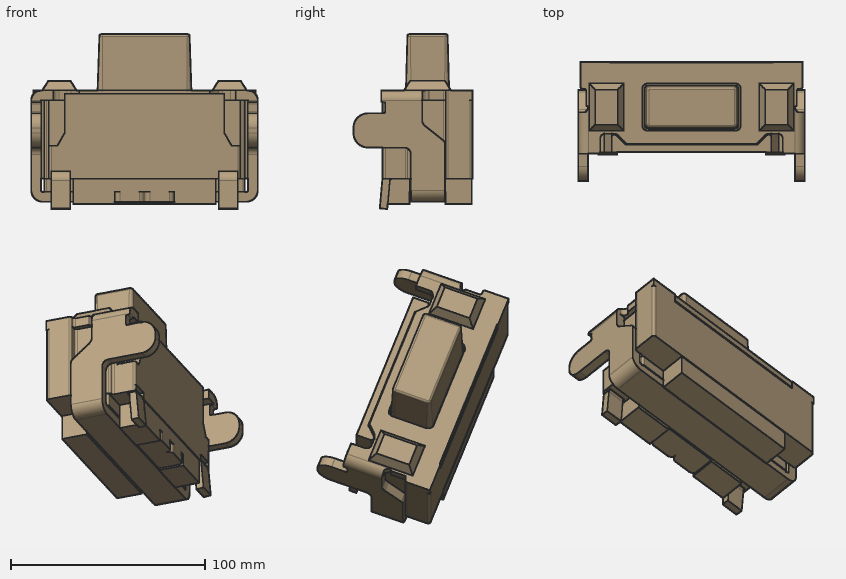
import cadquery as cq
import math

width = 116.8
sheet = 5.1
plate_top = 61.1
plate_bottom = plate_top - sheet
plunger_top = 90.2
housing_bottom = 15.8
base_bottom = 2.6
strap_bottom = 3.7
strap_top = strap_bottom + sheet

back_y = 23.3
front_y = -23.3
plate_front_y = -24.0
tab_tip_y = -38.2

wing_x = 57.3
waist_x = 54.2
arm_outer_x = width / 2
arm_inner_x = arm_outer_x - sheet
waist_step_round = (waist_x - arm_inner_x) / 2
shoulder_y = 9.3
shoulder_round = 1.2
waist_step_y = 0.9
back_notch_x = 41.8
back_notch_depth = 0.5
window_x = 25.5
window_y = 12.3
window_round = 3.2

opening_x = 47.1
opening_y = -13.7
opening_round = 2.8
opening_inner_x = 38.8
sill_x = 33.5
sill_y = -18.9
tongue_gap = 0.6
tongue_x = 41.1
tongue_top = 59.5
tongue_round = 1.2

arm_front_y = -21.7
arm_top_rear_y = -2.8
flare_start_y = waist_step_y - 2 * waist_step_round
flare_round = flare_start_y - arm_top_rear_y
strap_rear_y = 8.9
strap_front_y = -8.5
slant_low_z = 34.8
slant_high_z = 44.0
slant_low_round = 2.3
slant_high_round = 4.2
tab_top = 49.4
tab_bottom = 31.7
tab_round = 7.6
tab_corner_round = 3.5
lip_bottom = 55.1
lip_round = 0.8
notch_round = 1.0
top_bend_radius = sheet
bottom_bend_radius = 6.1
bend_inner_radius = bottom_bend_radius - sheet

core_x = 51.6
cheek_x = 49.4
cheek_y = -11.5
edge_round = 1.4
recess_back_y = -13.1
recess_floor = 32.7
recess_slant_top = 39.1
recess_slant_x = 44.9

base_x = 36.8
base_half_y = 22.9
groove_half_y = 9.2
core_round = 1.2
foot_pair_x = 15.4
foot_round = 2.8
foot_bottom = 3.6

plunger_root_x = 24.4
plunger_root_y = 11.3
plunger_root_round = 2.7
plunger_top_x = 23.3
plunger_top_y = 10.4
plunger_top_round = 1.5
plunger_edge = 1.2

boss_x = 43.8
boss_length = 17.9
boss_depth = 24.3
boss_height = 4.9
boss_slope = 3.2

leg_inner_x = 38.2
leg_outer_x = 48.1
leg_thickness = 4.0
leg_bend_top = 19.5
leg_bend_end = 15.0
leg_bend_y = -23.4
leg_tilt = math.radians(5)
leg_bend_radius = (leg_bend_top - leg_bend_end) / (1 - math.sin(leg_tilt))
leg_inner_radius = leg_bend_radius - leg_thickness
leg_root_y = leg_bend_y + leg_bend_radius * math.cos(leg_tilt)


def box(x0, x1, y0, y1, z0, z1):
    return cq.Workplane("XY").box(x1 - x0, y1 - y0, z1 - z0, centered=False).translate((x0, y0, z0))


def both_sides(right_part):
    return right_part.union(right_part.mirror("YZ"))


def front_opening(inset, outer_x, corner_round):
    """Front opening shape, shrunk by inset along its slants and sill."""
    slant = math.atan2(opening_y - sill_y, opening_inner_x - sill_x)
    shift = inset * math.tan(slant / 2)
    depth_y = opening_y - inset
    sill = sill_y - inset
    right_points = [(sill_x + shift, sill), (opening_inner_x + shift, depth_y), (outer_x, depth_y)]
    front_points = [(outer_x, plate_front_y), (-outer_x, plate_front_y)]
    left_points = [(-x, y) for x, y in reversed(right_points)]
    outline = right_points + front_points + left_points
    height = plate_top - housing_bottom
    shape = cq.Workplane("XY", origin=(0, 0, housing_bottom)).polyline(outline).close().extrude(height)
    for x, _ in right_points[1:] + left_points[:2]:
        corner = cq.selectors.NearestToPointSelector((x, depth_y, housing_bottom + height / 2))
        shape = shape.edges("|Z").edges(corner).fillet(corner_round)
    return shape


def make_plate():
    """Flat top of the frame with its window, front opening and shallow back notch."""
    wing_inner_x = wing_x - shoulder_round
    waist_outer_x = waist_x + shoulder_round
    half = (
        cq.Workplane("XY", origin=(0, 0, plate_bottom))
        .moveTo(0, plate_front_y)
        .lineTo(arm_inner_x, plate_front_y)
        .lineTo(arm_inner_x, flare_start_y)
        .radiusArc((arm_inner_x + waist_step_round, flare_start_y + waist_step_round), waist_step_round)
        .radiusArc((waist_x, waist_step_y), -waist_step_round)
        .lineTo(waist_x, shoulder_y - shoulder_round)
        .radiusArc((waist_outer_x, shoulder_y), shoulder_round)
        .lineTo(wing_inner_x, shoulder_y)
        .radiusArc((wing_x, shoulder_y + shoulder_round), -shoulder_round)
        .lineTo(wing_x, back_y)
        .lineTo(0, back_y)
        .close()
        .extrude(sheet)
    )
    plate = both_sides(half)
    plate = plate.cut(front_opening(0, opening_x, opening_round))
    window = box(-window_x, window_x, -window_y, window_y, plate_bottom, plate_top)
    plate = plate.cut(window.edges("|Z").fillet(window_round))
    notch_y = back_y - back_notch_depth
    return plate.cut(box(-back_notch_x, back_notch_x, notch_y, back_y, plate_bottom, plate_top))


def make_arm():
    """Right arm with its round-ended tab, before its bends are rounded."""
    outline = [
        (arm_top_rear_y, plate_top), (plate_front_y, plate_top), (plate_front_y, lip_bottom),
        (arm_front_y, lip_bottom), (arm_front_y, tab_top), (tab_tip_y, tab_top),
        (tab_tip_y, tab_bottom), (strap_front_y, tab_bottom), (strap_front_y, strap_bottom),
        (strap_rear_y, strap_bottom), (strap_rear_y, slant_low_z), (arm_top_rear_y, slant_high_z),
    ]
    arm = cq.Workplane("YZ", origin=(arm_inner_x, 0, 0)).polyline(outline).close().extrude(sheet)
    corner_rounds = [
        (plate_front_y, lip_bottom, lip_round), (arm_front_y, lip_bottom, lip_round),
        (arm_front_y, tab_top, notch_round), (tab_tip_y, tab_top, tab_round),
        (tab_tip_y, tab_bottom, tab_round), (strap_front_y, tab_bottom, tab_corner_round),
        (strap_rear_y, slant_low_z, slant_low_round), (arm_top_rear_y, slant_high_z, slant_high_round),
    ]
    for y, z, radius in corner_rounds:
        corner = cq.selectors.NearestToPointSelector((arm_inner_x + sheet / 2, y, z))
        arm = arm.edges("|X").edges(corner).fillet(radius)
    flare = (
        cq.Workplane("XY", origin=(arm_inner_x, arm_top_rear_y, plate_bottom))
        .lineTo(flare_round, 0)
        .radiusArc((0, flare_round), flare_round)
        .close()
        .extrude(sheet)
    )
    return arm.union(flare)


def make_frame_sides():
    """Both arms and the floor strap joining them, with rounded outer bends."""
    floor = box(-arm_outer_x, arm_outer_x, strap_front_y, strap_rear_y, strap_bottom, strap_top)
    inner_bend = (
        cq.Workplane("XZ", origin=(arm_inner_x, strap_rear_y, strap_top))
        .lineTo(-bend_inner_radius, 0)
        .radiusArc((0, bend_inner_radius), -bend_inner_radius)
        .close()
        .extrude(strap_rear_y - strap_front_y)
    )
    envelope = box(-arm_outer_x, arm_outer_x, tab_tip_y, strap_rear_y, strap_bottom, plate_top)
    envelope = envelope.edges("|Y and >Z").fillet(top_bend_radius)
    envelope = envelope.edges("|Y and <Z").fillet(bottom_bend_radius)
    return floor.union(both_sides(make_arm().union(inner_bend))).intersect(envelope)


def make_housing():
    """Block under the plate, recessed beside the tongue and pocketed for the legs."""
    step = (core_x - cheek_x) / 2
    half = (
        cq.Workplane("XY", origin=(0, 0, housing_bottom))
        .moveTo(0, front_y)
        .lineTo(cheek_x - edge_round, front_y)
        .radiusArc((cheek_x, front_y + edge_round), -edge_round)
        .lineTo(cheek_x, cheek_y)
        .radiusArc((cheek_x + step, cheek_y + step), step)
        .radiusArc((core_x, cheek_y + 2 * step), -step)
        .lineTo(core_x, shoulder_y)
        .lineTo(wing_x, shoulder_y)
        .lineTo(wing_x, back_y - edge_round)
        .radiusArc((wing_x - edge_round, back_y), -edge_round)
        .lineTo(0, back_y)
        .close()
        .extrude(plate_bottom - housing_bottom)
    )
    for x in (core_x, wing_x):
        corner = cq.selectors.NearestToPointSelector((x, shoulder_y, (housing_bottom + plate_bottom) / 2))
        half = half.edges("|Z").edges(corner).fillet(shoulder_round)
    recess = (
        cq.Workplane("XZ", origin=(0, recess_back_y, 0))
        .moveTo(tongue_x, plate_bottom)
        .lineTo(tongue_x, recess_slant_top)
        .lineTo(recess_slant_x, recess_floor)
        .lineTo(wing_x, recess_floor)
        .lineTo(wing_x, plate_bottom)
        .close()
        .extrude(recess_back_y - plate_front_y)
    )
    leg_pocket = box(leg_inner_x, leg_outer_x, front_y, leg_root_y, housing_bottom, leg_bend_top)
    housing = both_sides(half.cut(recess).cut(leg_pocket))
    tongue_zone = box(-tongue_x, tongue_x, front_y, opening_y, plate_bottom, tongue_top)
    return housing.union(front_opening(tongue_gap, tongue_x, tongue_round).intersect(tongue_zone))


def make_base():
    """Grooved lower block with two round-cornered feet in its front edge."""
    base = box(-base_x, base_x, -base_half_y, base_half_y, base_bottom, housing_bottom)
    base = base.cut(box(-base_x, base_x, -groove_half_y, groove_half_y, base_bottom, strap_top))
    core = box(-core_x, core_x, -groove_half_y, groove_half_y, strap_top, housing_bottom)
    base = base.union(core.edges("|Z").fillet(core_round))
    base = base.cut(box(-foot_pair_x, foot_pair_x, -base_half_y, -groove_half_y, base_bottom, strap_top))
    foot = box(0, foot_pair_x, -base_half_y, -groove_half_y, foot_bottom, strap_top)
    return base.union(both_sides(foot.edges("|Z and <Y").fillet(foot_round)))


def make_plunger():
    """Tapered push button standing on the housing through the plate window."""
    root = cq.Sketch().rect(2 * plunger_root_x, 2 * plunger_root_y).vertices().fillet(plunger_root_round)
    top = cq.Sketch().rect(2 * plunger_top_x, 2 * plunger_top_y).vertices().fillet(plunger_top_round)
    height = plunger_top - plate_bottom
    plunger = (
        cq.Workplane("XY", origin=(0, 0, plate_bottom))
        .placeSketch(root, top.moved(cq.Location(cq.Vector(0, 0, height))))
        .loft(ruled=True)
    )
    return plunger.faces(">Z").edges().fillet(plunger_edge)


def make_boss():
    return (
        cq.Workplane("XY", origin=(boss_x, 0, plate_top))
        .rect(boss_length, boss_depth)
        .workplane(offset=boss_height)
        .rect(boss_length - 2 * boss_slope, boss_depth - 2 * boss_slope)
        .loft(ruled=True)
    )


def make_leg():
    """Strip leaving the housing level, bending down to a slight outward tilt."""
    centre_z = leg_bend_top - leg_bend_radius
    along_y = leg_thickness * math.cos(leg_tilt)
    drop = leg_thickness * math.sin(leg_tilt)
    tip_y = leg_bend_y - (leg_bend_end - drop) * math.tan(leg_tilt)
    return (
        cq.Workplane("YZ", origin=(leg_inner_x, 0, 0))
        .moveTo(leg_root_y, centre_z + leg_inner_radius)
        .lineTo(leg_root_y, leg_bend_top)
        .radiusArc((leg_bend_y, leg_bend_end), -leg_bend_radius)
        .lineTo(tip_y, drop)
        .lineTo(tip_y + along_y, 0)
        .lineTo(leg_bend_y + along_y, leg_bend_end - drop)
        .radiusArc((leg_root_y, centre_z + leg_inner_radius), leg_inner_radius)
        .close()
        .extrude(leg_outer_x - leg_inner_x)
    )


result = make_housing()
for part in (make_plate(), make_frame_sides(), make_base(), make_plunger()):
    result = result.union(part)
for part in (make_boss(), make_leg()):
    result = result.union(both_sides(part))